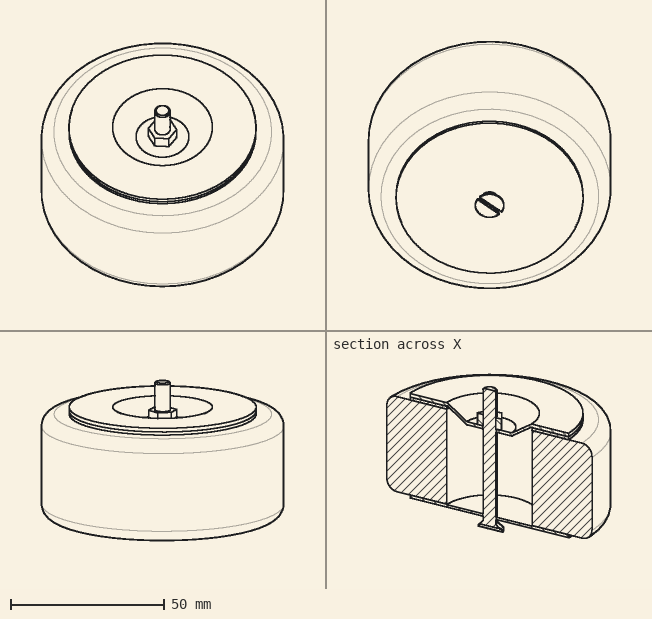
import cadquery as cq

core_radius = 39.5
core_height = 34.05
core_fillet = 4.0
core_base = 5.2

disc_radius = 30.5
pad_thickness = 1.0
plate_thickness = 1.3
dish_rim_radius = 16.3
dish_floor_radius = 8.6
dish_depth = 5.0

bolt_radius = 2.5
bolt_length = 50.0
bolt_chamfer = 0.5
head_radius = 4.7
head_rim_height = 0.5
head_height = 2.7
slot_width = 1.2
slot_depth = 1.2

nut_across_flats = 8.0
nut_height = 4.0

lower_pad_base = core_base - pad_thickness
core_top = core_base + core_height
plate_base = core_top + pad_thickness
plate_top = plate_base + plate_thickness
dish_floor = plate_top - dish_depth


def make_cylinder(radius, height, base):
    """Cylinder centred on Z, rising from the given base height."""
    return cq.Workplane("XY").workplane(offset=base).circle(radius).extrude(height)


def make_core():
    """Wound ring with rounded outer edges and a bore that clears the dish."""
    blank = make_cylinder(core_radius, core_height, core_base)
    rounded = blank.faces("<Z or >Z").edges().fillet(core_fillet)
    return rounded.cut(make_cylinder(dish_rim_radius, core_height, core_base))


def make_pad(hole_radius, base):
    """Thin insulating disc with a central hole."""
    disc = make_cylinder(disc_radius, pad_thickness, base)
    return disc.cut(make_cylinder(hole_radius, pad_thickness, base))


def make_plate():
    """Pressed plate whose conical centre sinks to a flat floor around the bolt."""
    floor_underside = dish_floor - plate_thickness
    profile = [
        (bolt_radius, dish_floor),
        (dish_floor_radius, dish_floor),
        (dish_rim_radius, plate_top),
        (disc_radius, plate_top),
        (disc_radius, plate_base),
        (dish_rim_radius, plate_base),
        (dish_floor_radius, floor_underside),
        (bolt_radius, floor_underside),
    ]
    return cq.Workplane("XZ").polyline(profile).close().revolve(360, (0, 0), (0, 1))


def make_bolt():
    """Countersunk bolt with a screwdriver slot running along Y."""
    profile = [
        (0, 0),
        (head_radius, 0),
        (head_radius, head_rim_height),
        (bolt_radius, head_height),
        (bolt_radius, bolt_length - bolt_chamfer),
        (bolt_radius - bolt_chamfer, bolt_length),
        (0, bolt_length),
    ]
    blank = cq.Workplane("XZ").polyline(profile).close().revolve(360, (0, 0), (0, 1))
    slot = cq.Workplane("XY").rect(slot_width, 2 * head_radius).extrude(slot_depth)
    return blank.cut(slot)


def make_nut():
    """Hexagonal nut on the dish floor, with two flats facing X."""
    return (
        cq.Workplane("XY")
        .workplane(offset=dish_floor)
        .polygon(6, nut_across_flats, circumscribed=True)
        .extrude(nut_height)
        .cut(make_cylinder(bolt_radius, nut_height, dish_floor))
    )


core = make_core()
lower_pad = make_pad(bolt_radius, lower_pad_base)
upper_pad = make_pad(dish_rim_radius, core_top)
plate = make_plate()
bolt = make_bolt()
nut = make_nut()

result = cq.Compound.makeCompound(
    [core.val(), lower_pad.val(), upper_pad.val(), plate.val(), bolt.val(), nut.val()]
)